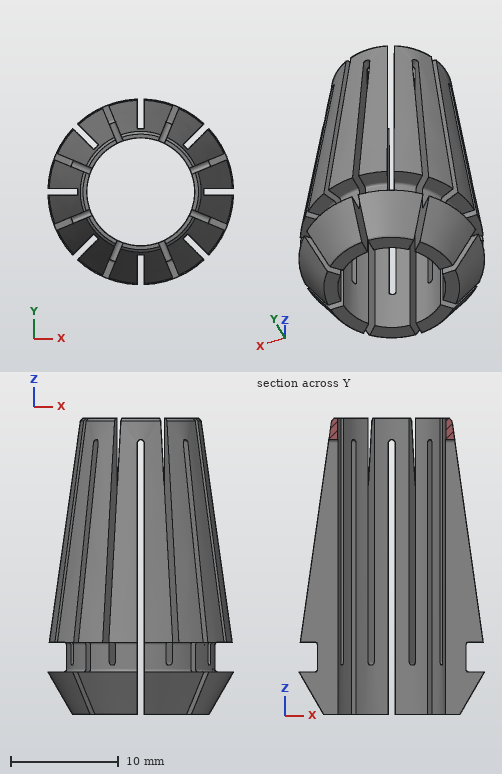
import cadquery as cq
import math

total_height = 27.5
nose_height = 3.96
groove_top = 6.7

bore_radius = 5.0
nose_radius = 8.625
nose_half_angle = 30.0
nose_edge_chamfer = 0.1
neck_radius = 6.9
neck_fillet = 0.25
cone_base_radius = 8.5
cone_half_angle = 8.0
rim_chamfer = 0.25

slot_width = 0.62
slots_per_set = 8
slot_pitch = 360.0 / slots_per_set
nose_slot_top = 25.5
rim_slot_bottom = 4.58
slot_reach = nose_radius + 1.0
slot_overrun = 1.0

nose_taper = math.tan(math.radians(nose_half_angle))
cone_taper = math.tan(math.radians(cone_half_angle))


def cone_radius(z):
    """Radius of the clamping cone at height z."""
    return cone_base_radius - (z - groove_top) * cone_taper


def collet_blank():
    """Unslotted sleeve: nose flange, extraction groove and clamping cone."""
    nose_bevel_radius = nose_radius - (nose_height - nose_edge_chamfer) * nose_taper
    chamfer_start = total_height - rim_chamfer
    chamfer_radius = cone_radius(chamfer_start)
    fillet_edge_radius = neck_radius + neck_fillet
    fillet_mid_radius = fillet_edge_radius - neck_fillet * math.sqrt(0.5)
    fillet_mid_rise = neck_fillet * (1.0 - math.sqrt(0.5))
    profile = (
        cq.Workplane("XZ")
        .moveTo(bore_radius, 0)
        .lineTo(nose_bevel_radius - nose_edge_chamfer, 0)
        .lineTo(nose_bevel_radius, nose_edge_chamfer)
        .lineTo(nose_radius, nose_height)
        .lineTo(fillet_edge_radius, nose_height)
        .threePointArc(
            (fillet_mid_radius, nose_height + fillet_mid_rise),
            (neck_radius, nose_height + neck_fillet),
        )
        .lineTo(neck_radius, groove_top - neck_fillet)
        .threePointArc(
            (fillet_mid_radius, groove_top - fillet_mid_rise),
            (fillet_edge_radius, groove_top),
        )
        .lineTo(cone_base_radius, groove_top)
        .lineTo(chamfer_radius, chamfer_start)
        .lineTo(chamfer_radius - rim_chamfer, total_height)
        .lineTo(bore_radius, total_height)
        .close()
    )
    return profile.revolve(360, (0, 0, 0), (0, 1, 0))


def radial_slot(closed_end, open_end, angle):
    """Slot cutter along +X, rounded at its closed end, turned about Z by angle."""
    half_width = slot_width / 2.0
    toward_open = math.copysign(half_width, open_end - closed_end)
    round_center = closed_end + toward_open
    cutter = (
        cq.Workplane("YZ")
        .moveTo(-half_width, open_end)
        .lineTo(-half_width, round_center)
        .threePointArc((0, closed_end), (half_width, round_center))
        .lineTo(half_width, open_end)
        .close()
        .extrude(slot_reach)
    )
    return cutter.rotate((0, 0, 0), (0, 0, 1), angle)


result = collet_blank()
for index in range(slots_per_set):
    nose_slot_angle = index * slot_pitch
    rim_slot_angle = nose_slot_angle + slot_pitch / 2.0
    result = result.cut(radial_slot(nose_slot_top, -slot_overrun, nose_slot_angle))
    result = result.cut(radial_slot(rim_slot_bottom, total_height + slot_overrun, rim_slot_angle))